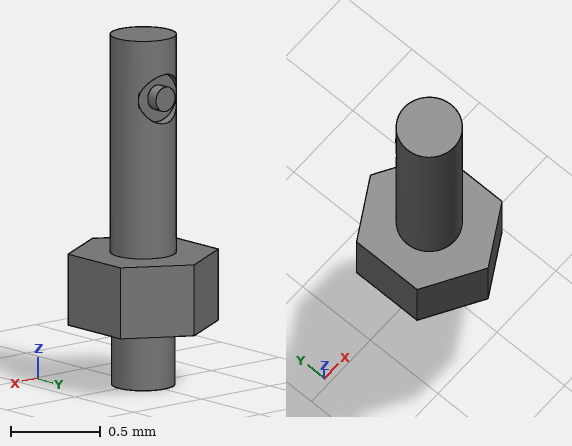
import cadquery as cq

total_length = 2.0
across_flats = 0.72
across_corners = 0.87
flat_width = 0.448
collar_bottom = 0.35
collar_height = 0.405

shaft_diameter = 0.37
tail_diameter = 0.355

boss_level = 1.66
boss_diameter = 0.14
boss_reach = 0.19
recess_diameter = 0.28
recess_floor = 0.12

collar_top = collar_bottom + collar_height
shaft_length = total_length - collar_top


def upright_cylinder(diameter, bottom, height):
    """Round bar on the Z axis, starting at the given level."""
    return cq.Workplane("XY", origin=(0, 0, bottom)).circle(diameter / 2).extrude(height)


def hexagonal_collar():
    """Hexagon with corners on the Y axis and side faces at +X and -X."""
    corner_y = across_corners / 2
    side_x = across_flats / 2
    side_end_y = flat_width / 2
    corners = [
        (0, corner_y),
        (side_x, side_end_y),
        (side_x, -side_end_y),
        (0, -corner_y),
        (-side_x, -side_end_y),
        (-side_x, side_end_y),
    ]
    profile = cq.Workplane("XY", origin=(0, 0, collar_bottom)).polyline(corners).close()
    return profile.extrude(collar_height)


def boss_cylinder(diameter, reach):
    """Disc on the boss axis, from the recess floor out to the given distance from the shaft axis."""
    plane = cq.Plane(origin=(0, recess_floor, boss_level), xDir=(-1, 0, 0), normal=(0, 1, 0))
    return cq.Workplane(plane).circle(diameter / 2).extrude(reach - recess_floor)


def shaft_with_boss():
    """Long round shaft with the recess cut in its side and the boss standing in it."""
    shaft = upright_cylinder(shaft_diameter, collar_top, shaft_length)
    recess = boss_cylinder(recess_diameter, shaft_diameter)
    boss = boss_cylinder(boss_diameter, boss_reach)
    return shaft.cut(recess).union(boss)


tail = upright_cylinder(tail_diameter, 0, collar_bottom)
result = hexagonal_collar().union(tail).union(shaft_with_boss())